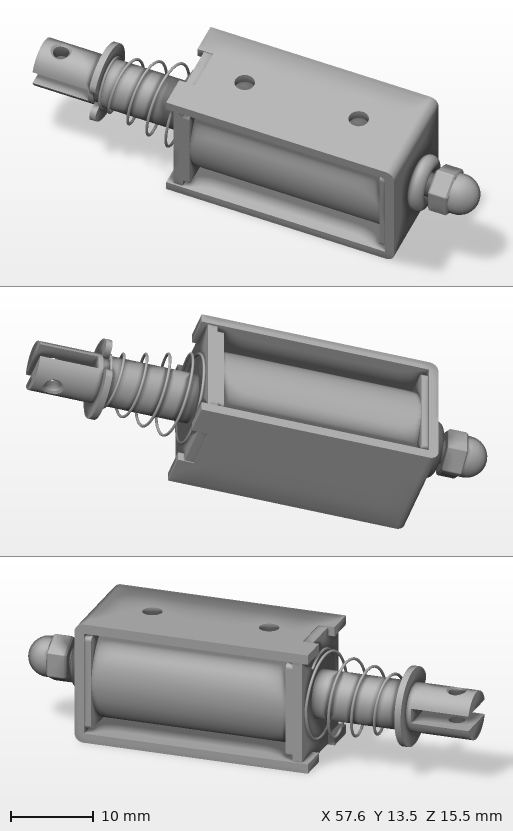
import cadquery as cq
import math


FRAME_START = 19.3
FRAME_END = 49.3
FRAME_WIDTH = 13.5
FRAME_HEIGHT = 15.5
SHEET = 1.2
FRAME_BEND_RADIUS = 1.15
INNER_HEIGHT = FRAME_HEIGHT - 2 * SHEET
BACK_INNER = FRAME_END - SHEET
MOUNT_HOLE_DIAMETER = 2.5
MOUNT_HOLE_X = (26.7, 41.7)

PLATE_START = 20.15
PLATE_END = PLATE_START + SHEET
PLATE_WIDTH = 13.0
TAB_WIDTH = 5.6
TAB_RECESS = 0.1

FLANGE_THICKNESS = 0.85
FLANGE_HEIGHT = 12.1
FLANGE_WIDTH = PLATE_WIDTH
FLANGE_CORNER_RADIUS = 0.6
COIL_RADIUS = 6.4

PLUNGER_RADIUS = 3.05
PLUNGER_END = BACK_INNER
FORK_DEPTH = 7.35
FORK_GAP = 1.9
PIN_HOLE_X = 2.55
PIN_HOLE_DIAMETER = 2.0
PIN_HOLE_CHAMFER = 0.3
ROD_RADIUS = 1.5

CLIP_START = 8.0
CLIP_THICKNESS = 0.8
CLIP_END = CLIP_START + CLIP_THICKNESS
CLIP_RADIUS = 4.95
CLIP_MOUTH = 2.9
CLIP_TIP_ROUNDING = 1.0
CLIP_GROOVE_DEPTH = 0.35
GROOVE_RADIUS = PLUNGER_RADIUS - CLIP_GROOVE_DEPTH

WIRE_RADIUS = 0.2
SPRING_TURNS = 4
END_COIL_TURNS = 0.85
SPRING_SMALL_RADIUS = PLUNGER_RADIUS + WIRE_RADIUS
SPRING_LARGE_RADIUS = 5.5
SPRING_START = CLIP_END + WIRE_RADIUS
SPRING_END = PLATE_START - WIRE_RADIUS

RING_THICKNESS = 2.0
RING_RADIUS = 3.55
NUT_START = 51.9
HEX_LENGTH = 2.6
HEX_CORNER_RADIUS = 3.05
HEX_EDGE_ROUNDING = 0.25
HEX_END_CHAMFER = 0.25
CAP_RADIUS = 2.55
TOTAL_LENGTH = 57.55
NUT_HEX_END = NUT_START + HEX_LENGTH


def box(start, length, width, height):
    """Block centred on the X axis, beginning at X = start."""
    block = cq.Workplane("XY").box(length, width, height, centered=(False, True, True))
    return block.translate((start, 0, 0))


def cylinder(start, end, radius):
    """Round bar on the X axis."""
    return cq.Workplane("YZ", origin=(start, 0, 0)).circle(radius).extrude(end - start)


def make_frame():
    """U-shaped sheet frame, notched for the plate tabs and drilled in its top arm."""
    frame = box(FRAME_START, FRAME_END - FRAME_START, FRAME_WIDTH, FRAME_HEIGHT)
    frame = frame.edges("|Y and >X").fillet(FRAME_BEND_RADIUS)
    frame = frame.cut(box(FRAME_START, BACK_INNER - FRAME_START, FRAME_WIDTH, INNER_HEIGHT))
    frame = frame.cut(box(FRAME_START, PLATE_END - FRAME_START, TAB_WIDTH, FRAME_HEIGHT))
    for x in MOUNT_HOLE_X:
        hole = cq.Workplane("XY").center(x, 0).circle(MOUNT_HOLE_DIAMETER / 2).extrude(FRAME_HEIGHT)
        frame = frame.cut(hole)
    return frame.cut(cylinder(BACK_INNER, FRAME_END, ROD_RADIUS))


def make_plate():
    """Front plate with a tab locked into each frame arm."""
    plate = box(PLATE_START, SHEET, PLATE_WIDTH, INNER_HEIGHT)
    plate = plate.union(box(PLATE_START, SHEET, TAB_WIDTH, FRAME_HEIGHT - 2 * TAB_RECESS))
    return plate.cut(cylinder(PLATE_START, PLATE_END, PLUNGER_RADIUS))


def make_flange(start):
    """Rectangular coil end flange with rounded corners."""
    flange = box(start, FLANGE_THICKNESS, FLANGE_WIDTH, FLANGE_HEIGHT)
    flange = flange.edges("|X").fillet(FLANGE_CORNER_RADIUS)
    return flange.cut(cylinder(start, start + FLANGE_THICKNESS, PLUNGER_RADIUS))


def make_coil():
    """Winding between the two flanges."""
    start = PLATE_END + FLANGE_THICKNESS
    end = BACK_INNER - FLANGE_THICKNESS
    return cylinder(start, end, COIL_RADIUS).cut(cylinder(start, end, PLUNGER_RADIUS))


def make_plunger():
    """Forked plunger with a clip groove and a rod that carries the ring and the nut."""
    bar = cylinder(0, PLUNGER_END, PLUNGER_RADIUS)
    pin_hole = cq.Workplane("XY").center(PIN_HOLE_X, 0).circle(PIN_HOLE_DIAMETER / 2)
    bar = bar.cut(pin_hole.extrude(PLUNGER_RADIUS, both=True))
    for side in (-1, 1):
        rim = cq.selectors.NearestToPointSelector((PIN_HOLE_X, 0, side * PLUNGER_RADIUS))
        bar = bar.edges(rim).chamfer(PIN_HOLE_CHAMFER)
    fork_slot = box(0, FORK_DEPTH, 2 * PLUNGER_RADIUS, FORK_GAP)
    groove = cylinder(CLIP_START, CLIP_END, PLUNGER_RADIUS).cut(cylinder(CLIP_START, CLIP_END, GROOVE_RADIUS))
    rod = cylinder(PLUNGER_END, NUT_HEX_END, ROD_RADIUS)
    return bar.cut(fork_slot).cut(groove).union(rod)


def make_clip():
    """C-shaped retaining clip, open toward -Y, with rounded tips."""
    clip = cylinder(CLIP_START, CLIP_END, CLIP_RADIUS)
    mouth = box(CLIP_START, CLIP_THICKNESS, CLIP_RADIUS, CLIP_MOUTH).translate((0, -CLIP_RADIUS / 2, 0))
    clip = clip.cut(cylinder(CLIP_START, CLIP_END, GROOVE_RADIUS)).cut(mouth)
    tip_y = -math.sqrt(CLIP_RADIUS**2 - (CLIP_MOUTH / 2) ** 2)
    middle_x = (CLIP_START + CLIP_END) / 2
    for side in (-1, 1):
        tip_edge = cq.selectors.NearestToPointSelector((middle_x, tip_y, side * CLIP_MOUTH / 2))
        clip = clip.edges("|X").edges(tip_edge).fillet(CLIP_TIP_ROUNDING)
    return clip


def flat_coil(radius, height, start_turn, end_turn):
    """Circular stretch of wire centre line around Z, wound in the same sense as the spring."""
    middle_turn = (start_turn + end_turn) / 2
    points = []
    for turn in (start_turn, middle_turn, end_turn):
        angle = -2 * math.pi * turn
        points.append(cq.Vector(radius * math.cos(angle), radius * math.sin(angle), height))
    return cq.Edge.makeThreePointArc(*points)


def make_spring():
    """Left-handed conical spring with a flat coil at each end, wound around Z and then laid along X."""
    height = SPRING_END - SPRING_START
    cone_angle = math.atan((SPRING_LARGE_RADIUS - SPRING_SMALL_RADIUS) / height)
    slant = height / math.cos(cone_angle)
    helix = cq.Wire.makeHelix(
        slant / SPRING_TURNS, slant, SPRING_SMALL_RADIUS, angle=math.degrees(cone_angle), lefthand=True
    )
    small_coil = flat_coil(SPRING_SMALL_RADIUS, 0, -END_COIL_TURNS, 0)
    large_coil = flat_coil(SPRING_LARGE_RADIUS, height, SPRING_TURNS, SPRING_TURNS + END_COIL_TURNS)
    path = cq.Wire.assembleEdges([small_coil, *helix.Edges(), large_coil])
    wire_plane = cq.Plane(origin=small_coil.startPoint(), xDir=(0, 0, 1), normal=small_coil.tangentAt(0))
    spring = cq.Workplane(wire_plane).circle(WIRE_RADIUS)
    spring = spring.sweep(cq.Workplane(path), isFrenet=True, transition="transformed")
    return spring.rotate((0, 0, 0), (1, 1, 1), 120).translate((SPRING_START, 0, 0))


def make_ring():
    """Rubber ring resting on the back of the frame."""
    tube_radius = RING_THICKNESS / 2
    ring = cq.Solid.makeTorus(
        RING_RADIUS - tube_radius, tube_radius, cq.Vector(FRAME_END + tube_radius, 0, 0), cq.Vector(1, 0, 0)
    )
    return cq.Workplane(ring)


def make_nut():
    """Cap nut: a hexagon with rounded corners and chamfered ends, then a round collar and a dome."""
    hexagon = cq.Workplane("YZ", origin=(NUT_START, 0, 0)).polygon(6, 2 * HEX_CORNER_RADIUS)
    hexagon = hexagon.extrude(HEX_LENGTH).rotate((0, 0, 0), (1, 0, 0), 90)
    hexagon = hexagon.edges("|X").fillet(HEX_EDGE_ROUNDING)
    hexagon = hexagon.faces("<X or >X").chamfer(HEX_END_CHAMFER)
    dome_centre = TOTAL_LENGTH - CAP_RADIUS
    profile = (
        cq.Workplane("XY")
        .moveTo(NUT_HEX_END, 0)
        .lineTo(NUT_HEX_END, CAP_RADIUS)
        .lineTo(dome_centre, CAP_RADIUS)
        .radiusArc((TOTAL_LENGTH, 0), CAP_RADIUS)
        .close()
    )
    cap = profile.revolve(360, (0, 0, 0), (1, 0, 0))
    return hexagon.union(cap).cut(cylinder(NUT_START, NUT_HEX_END, ROD_RADIUS))


frame = make_frame()
plate = make_plate()
flanges = [make_flange(start) for start in (PLATE_END, BACK_INNER - FLANGE_THICKNESS)]
coil = make_coil()
plunger = make_plunger()
clip = make_clip()
spring = make_spring()
ring = make_ring()
nut = make_nut()

result = cq.Compound.makeCompound(
    [frame.val(), plate.val()]
    + [flange.val() for flange in flanges]
    + [coil.val(), plunger.val(), clip.val(), spring.val(), ring.val(), nut.val()]
)